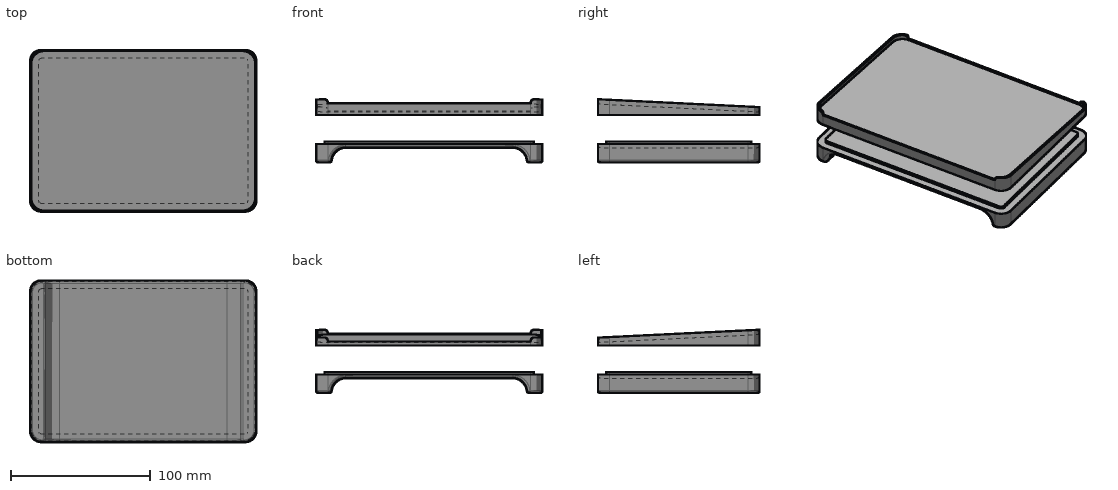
import cadquery as cq

LENGTH = 162.0
WIDTH = 115.8
CORNER_RADIUS = 8.5

BASE_HEIGHT = 13.3
DECK_THICKNESS = 2.8
FOOT_LENGTH = 11.2
ARCH_RADIUS = 10.0
ARCH_ROUND = 2.3
BOTTOM_ROUND = 1.8
PLATE_INSET = 6.0
PLATE_HEIGHT = 1.8
PLATE_CORNER_RADIUS = 2.5

OVERALL_HEIGHT = 45.4
TRAY_FRONT_HEIGHT = 11.5
TRAY_REAR_HEIGHT = 5.8
TRAY_WALL = 1.0
TRAY_DEPTH = 3.5
NOTCH_DEPTH = 2.9
NOTCH_ROUND = 2.5
TOLERANCE = 0.02

TRAY_BOTTOM = OVERALL_HEIGHT - TRAY_FRONT_HEIGHT
TRAY_SLOPE = (TRAY_REAR_HEIGHT - TRAY_FRONT_HEIGHT) / WIDTH


def rounded_block(length, width, height, radius, bottom):
    """Block centred on the Z axis with rounded vertical corners."""
    block = cq.Workplane("XY").workplane(offset=bottom).rect(length, width).extrude(height)
    return block.edges("|Z").fillet(radius)


def arch_cutter():
    """Passage along Y under the deck, with a quarter round at each foot."""
    deck_bottom = BASE_HEIGHT - DECK_THICKNESS
    passage = cq.Workplane("XY").rect(LENGTH - 2 * FOOT_LENGTH, WIDTH).extrude(deck_bottom)
    return passage.edges("|Y and >Z").fillet(ARCH_RADIUS)


def make_plate():
    """Locating plate standing on the deck."""
    length = LENGTH - 2 * PLATE_INSET
    width = WIDTH - 2 * PLATE_INSET
    return rounded_block(length, width, PLATE_HEIGHT, PLATE_CORNER_RADIUS, BASE_HEIGHT)


def make_base():
    """Deck on two feet, rounded along every lower edge, with the plate on top."""
    block = rounded_block(LENGTH, WIDTH, BASE_HEIGHT, CORNER_RADIUS, 0)
    bridge = block.cut(arch_cutter())
    bridge = bridge.faces("<Y or >Y").edges("not(|Z or >Z or <Z)").fillet(ARCH_ROUND)
    bridge = bridge.faces("<Z").edges().fillet(BOTTOM_ROUND)
    return bridge.union(make_plate())


def rim_level(y):
    """Z of the sloping rim at a given Y."""
    return TRAY_BOTTOM + TRAY_FRONT_HEIGHT + TRAY_SLOPE * (y + WIDTH / 2)


def space_above_slope(depth):
    """Everything above a plane lying the given depth below the sloping rim."""
    ceiling = 2 * OVERALL_HEIGHT
    return (
        cq.Workplane("YZ")
        .moveTo(-WIDTH, rim_level(-WIDTH) - depth)
        .lineTo(WIDTH, rim_level(WIDTH) - depth)
        .lineTo(WIDTH, ceiling)
        .lineTo(-WIDTH, ceiling)
        .close()
        .extrude(LENGTH, both=True)
    )


def make_tray():
    """Sloping tray with a thin rim, lowered between the corners at front and rear."""
    tray = rounded_block(LENGTH, WIDTH, TRAY_FRONT_HEIGHT, CORNER_RADIUS, TRAY_BOTTOM)
    tray = tray.cut(space_above_slope(0))

    recess = rounded_block(
        LENGTH - 2 * TRAY_WALL,
        WIDTH - 2 * TRAY_WALL,
        TRAY_FRONT_HEIGHT,
        CORNER_RADIUS,
        TRAY_BOTTOM,
    )
    tray = tray.cut(recess.intersect(space_above_slope(TRAY_DEPTH)))

    notch_length = LENGTH - 2 * CORNER_RADIUS
    notch = cq.Workplane("XY").workplane(offset=TRAY_BOTTOM).rect(notch_length, WIDTH)
    notch = notch.extrude(TRAY_FRONT_HEIGHT).intersect(space_above_slope(NOTCH_DEPTH))
    tray = tray.cut(notch)

    corners = []
    for edge in tray.edges().vals():
        middle = edge.Center()
        at_notch_end = abs(abs(middle.x) - notch_length / 2) < TOLERANCE
        on_rim = abs(middle.z - rim_level(middle.y)) < TOLERANCE
        if at_notch_end and on_rim:
            corners.append(edge)
    return tray.newObject(corners).fillet(NOTCH_ROUND)


base = make_base()
tray = make_tray()
result = cq.Compound.makeCompound([base.val(), tray.val()])